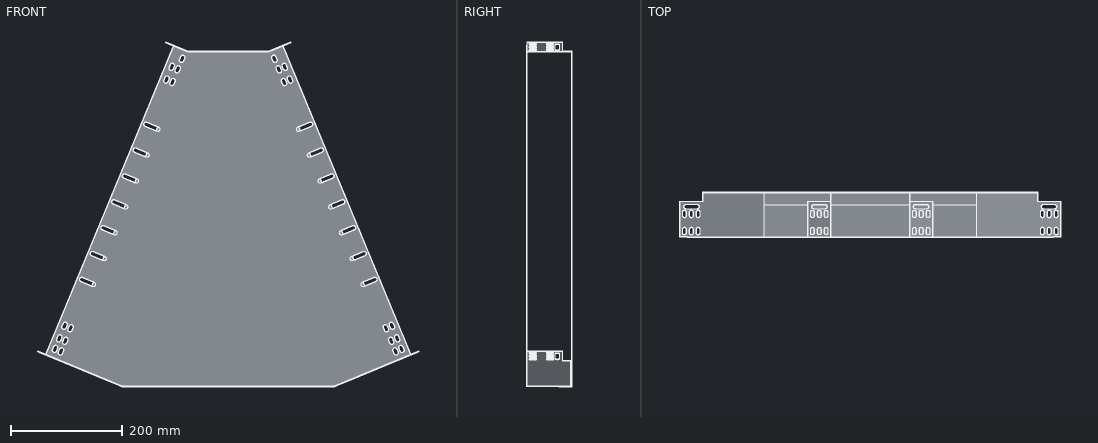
import cadquery as cq
import math


overall_width = 684.0
depth = 82.0
tray_depth = 80.0
wall_height = 601.5
top_width = 142.0
bottom_width = 382.0
side_angle = 22.5
sheet = 1.0
side_flange = 29.5
tab_height = 65.0
lip_depth = 23.0

slot_width = 7.5
short_slot_length = 13.0
tab_slot_inset = 9.0
tab_slot_span = 27.0
tab_slot_columns = 3
tab_slot_heights = (11.5, 42.5)
tab_long_slot_inset = 22.5
tab_long_slot_length = 30.0
tab_long_slot_height = 55.5

corner_slot_outs = (6.0, 18.0)
corner_slot_distances = (16.5, 37.0, 61.5)
side_slot_count = 7
side_slot_span = 302.0
side_slot_length = 31.0
side_slot_out = 9.5

cosine = math.cos(math.radians(side_angle))
sine = math.sin(math.radians(side_angle))
top_x = top_width / 2
bottom_x = bottom_width / 2
corner_wall_length = wall_height * sine - (bottom_x - top_x) * cosine
side_bottom_x = bottom_x + corner_wall_length * cosine
side_bottom_z = corner_wall_length * sine
side_length = (side_bottom_x - top_x) / sine
tab_length = (overall_width / 2 - side_bottom_x) / cosine
mitre = sheet * math.tan(math.radians(side_angle / 2))
bottom_bend = (bottom_x, 0)
top_bend = (top_x, wall_height)

cover_outline = [bottom_bend, (side_bottom_x, side_bottom_z), top_bend]


def side_point(out, along):
    """XZ point that lies `out` from the cover edge and `along` it from its lower end."""
    x = side_bottom_x + out * cosine - along * sine
    z = side_bottom_z + out * sine + along * cosine
    return (x, z)


def prism(points, y_start, y_end):
    """Closed XZ outline extruded between two Y positions."""
    return cq.Workplane("XZ", origin=(0, y_start, 0)).polyline(points).close().extrude(y_start - y_end)


def symmetric_plate(right_points, y_start, y_end):
    """Plate from its +X outline, listed from bottom to top, and the mirror of that outline."""
    left_points = [(-x, z) for x, z in reversed(right_points)]
    return prism(right_points + left_points, y_start, y_end)


def with_mirror(shape):
    """The +X shape joined with its mirror image."""
    return shape.union(shape.mirror("YZ"))


def flat_wall(half_length, z_low, y_start, y_end):
    """Horizontal sheet strip, centred on X = 0."""
    return symmetric_plate([(half_length, z_low), (half_length, z_low + sheet)], y_start, y_end)


def sloped_wall(bend, length, inward, y_end):
    """Strip on the +X side, running outward and up from `bend` and mitred there.

    `bend` lies on its outer face; the sheet is above it if `inward` is 1 and below if it is -1.
    """
    def strip_point(along, thickness):
        rise = inward * thickness
        return (bend[0] + along * cosine - rise * sine, bend[1] + along * sine + rise * cosine)

    corners = [
        strip_point(0, 0),
        strip_point(length, 0),
        strip_point(length, sheet),
        strip_point(inward * mitre, sheet),
    ]
    return prism(corners, sheet, y_end)


def tab_slots(end):
    """Cutters for the slots of the +X tab whose tip is at `end`."""
    plane = cq.Plane(origin=(end[0], 0, end[1]), xDir=(-cosine, 0, -sine), normal=(sine, 0, -cosine))
    pitch = tab_slot_span / (tab_slot_columns - 1)
    columns = [tab_slot_inset + i * pitch for i in range(tab_slot_columns)]
    up = plane.yDir.y
    short_spots = [(x, up * height) for x in columns for height in tab_slot_heights]
    cutters = cq.Workplane(plane).pushPoints(short_spots).slot2D(short_slot_length, slot_width, 90)
    cutters = cutters.extrude(slot_width, both=True)
    long_cutter = cq.Workplane(plane).center(tab_long_slot_inset, up * tab_long_slot_height)
    long_cutter = long_cutter.slot2D(tab_long_slot_length, slot_width).extrude(slot_width, both=True)
    return cutters.union(long_cutter)


def plate_slots(spots, length, angle):
    """Cutters through the base plate at XZ spots, their long axis at `angle` from +X."""
    cutters = cq.Workplane("XZ", origin=(0, -sheet, 0)).pushPoints(spots)
    return cutters.slot2D(length, slot_width, angle).extrude(-3 * sheet)


def corner_slots():
    """Slots near both ends of the +X side; the outer one nearest the top is left out."""
    spots = []
    for distance in corner_slot_distances:
        for out in corner_slot_outs:
            spots.append(side_point(out, distance))
            at_top_tab = distance == min(corner_slot_distances) and out == max(corner_slot_outs)
            if not at_top_tab:
                spots.append(side_point(out, side_length - distance))
    return plate_slots(spots, short_slot_length, 90 + side_angle)


def side_slots():
    """Row of long slots centred on the +X side, square to its edge."""
    pitch = side_slot_span / (side_slot_count - 1)
    first = (side_length - side_slot_span) / 2
    spots = [side_point(side_slot_out, first + i * pitch) for i in range(side_slot_count)]
    return plate_slots(spots, side_slot_length, side_angle)


def make_tray():
    """Base plate with its bottom, corner and top walls, and the four connector tabs."""
    base_outline = [
        bottom_bend,
        side_point(side_flange, 0),
        side_point(side_flange, side_length),
        top_bend,
    ]
    top_wall_outline = [(top_x + mitre, wall_height - sheet), top_bend]
    tray = symmetric_plate(base_outline, 0, sheet)
    tray = tray.union(flat_wall(bottom_x, 0, sheet, tray_depth))
    tray = tray.union(symmetric_plate(top_wall_outline, sheet, tray_depth))
    corner_wall = sloped_wall(bottom_bend, corner_wall_length, 1, tray_depth)
    bottom_tab = sloped_wall(bottom_bend, corner_wall_length + tab_length, 1, tab_height)
    bottom_tab = bottom_tab.cut(tab_slots(side_point(tab_length, 0)))
    top_tab = sloped_wall(top_bend, tab_length, -1, tab_height)
    top_tab = top_tab.cut(tab_slots(side_point(tab_length, side_length)))
    for right_part in (corner_wall, bottom_tab, top_tab):
        tray = tray.union(with_mirror(right_part))
    for cutters in (corner_slots(), side_slots()):
        tray = tray.cut(with_mirror(cutters))
    return tray


def make_cover():
    """Flat cover with a lip over the outside of the bottom wall and of the top wall."""
    lip_start = depth - lip_depth
    cover = symmetric_plate(cover_outline, depth - sheet, depth)
    cover = cover.union(flat_wall(bottom_x, -sheet, lip_start, depth))
    return cover.union(flat_wall(top_x, wall_height, lip_start, depth))


tray = make_tray()
cover = make_cover()
result = cq.Compound.makeCompound([tray.solids().val(), cover.solids().val()])